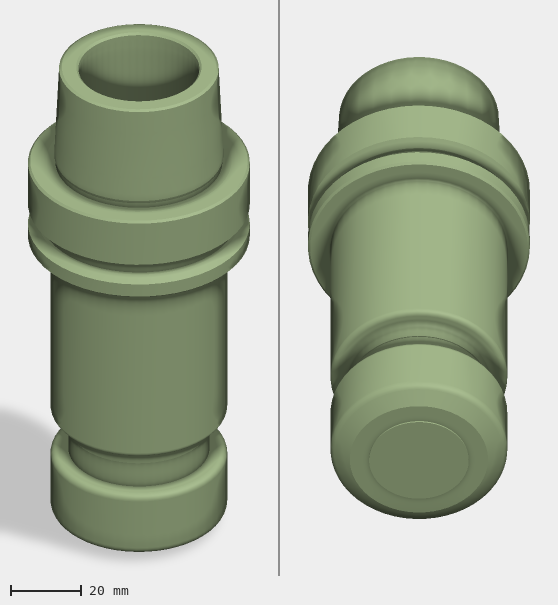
import cadquery as cq
import math

TOTAL_HEIGHT = 152.0
FLANGE_TOP = 120.1
FLANGE_BOTTOM = 94.1
BODY_BOTTOM = 35.7
NUT_TOP = 22.7
NUT_FACE = 0.5

TAPER_TOP_RADIUS = 22.7
TAPER_BASE_RADIUS = 24.0
TAPER_EDGE_RADIAL = 0.8
TAPER_EDGE_DROP = 0.5
TAPER_BASE_GAP = 2.1
BORE_RADIUS = 17.2
BORE_CHAMFER = 0.6
BORE_DEPTH = TOTAL_HEIGHT - FLANGE_TOP

RELIEF_NECK_RADIUS = 23.7
RELIEF_STEP = 0.9
RELIEF_INNER_RADIUS = 24.5
RELIEF_OUTER_RADIUS = 26.3
RELIEF_DEPTH = 0.3

FLANGE_RADIUS = 31.5
FLANGE_CHAMFER = 0.6
GROOVE_TOP = 105.5
GROOVE_BOTTOM = 98.8
GROOVE_STEP_RADIUS = 28.7
GROOVE_FLOOR_RADIUS = 27.7
GROOVE_SIDE_ANGLE = 30.0

BODY_RADIUS = 25.1
BODY_TOP_FILLET = 0.6
BODY_BOTTOM_FILLET = 1.5

NECK_RADIUS = 20.0
NECK_SHOULDER_RADIUS = 20.4
NECK_SHOULDER_BOTTOM = 30.7
NECK_FILLET = 1.5

NUT_RADIUS = BODY_RADIUS
NUT_TOP_FILLET = 1.8
NUT_FACE_RADIUS = 19.6
NUT_CONE_ANGLE = 30.0
NUT_EDGE_FILLET = 2.5
COLLET_RADIUS = 14.1


def cone_rise(outer_radius, inner_radius, angle):
    """Height of a cone whose side leans `angle` degrees from horizontal."""
    return (outer_radius - inner_radius) * math.tan(math.radians(angle))


def revolve_outline(outline):
    """Turn a closed (radius, height) outline about the Z axis."""
    return outline.close().revolve(360, (0, 0, 0), (0, 1, 0))


def make_shank_and_flange():
    taper_base = FLANGE_TOP + TAPER_BASE_GAP
    relief_floor = FLANGE_TOP - RELIEF_DEPTH
    groove_side = cone_rise(FLANGE_RADIUS, GROOVE_STEP_RADIUS, GROOVE_SIDE_ANGLE)
    outline = cq.Workplane("XZ").polyline([
        (0, TOTAL_HEIGHT),
        (TAPER_TOP_RADIUS - TAPER_EDGE_RADIAL, TOTAL_HEIGHT),
        (TAPER_TOP_RADIUS, TOTAL_HEIGHT - TAPER_EDGE_DROP),
        (TAPER_BASE_RADIUS, taper_base),
        (RELIEF_NECK_RADIUS, taper_base - RELIEF_STEP),
        (RELIEF_NECK_RADIUS, relief_floor),
        (RELIEF_INNER_RADIUS, relief_floor),
        (RELIEF_OUTER_RADIUS, FLANGE_TOP),
        (FLANGE_RADIUS - FLANGE_CHAMFER, FLANGE_TOP),
        (FLANGE_RADIUS, FLANGE_TOP - FLANGE_CHAMFER),
        (FLANGE_RADIUS, GROOVE_TOP),
        (GROOVE_STEP_RADIUS, GROOVE_TOP - groove_side),
        (GROOVE_FLOOR_RADIUS, GROOVE_TOP - groove_side),
        (GROOVE_FLOOR_RADIUS, GROOVE_BOTTOM + groove_side),
        (GROOVE_STEP_RADIUS, GROOVE_BOTTOM + groove_side),
        (FLANGE_RADIUS, GROOVE_BOTTOM),
        (FLANGE_RADIUS, FLANGE_BOTTOM + FLANGE_CHAMFER),
        (FLANGE_RADIUS - FLANGE_CHAMFER, FLANGE_BOTTOM),
        (0, FLANGE_BOTTOM),
    ])
    return revolve_outline(outline)


def make_body_and_neck():
    outline = (
        cq.Workplane("XZ")
        .moveTo(0, FLANGE_BOTTOM)
        .lineTo(BODY_RADIUS + BODY_TOP_FILLET, FLANGE_BOTTOM)
        .radiusArc((BODY_RADIUS, FLANGE_BOTTOM - BODY_TOP_FILLET), -BODY_TOP_FILLET)
        .lineTo(BODY_RADIUS, BODY_BOTTOM + BODY_BOTTOM_FILLET)
        .radiusArc((BODY_RADIUS - BODY_BOTTOM_FILLET, BODY_BOTTOM), BODY_BOTTOM_FILLET)
        .lineTo(NECK_SHOULDER_RADIUS + NECK_FILLET, BODY_BOTTOM)
        .radiusArc((NECK_SHOULDER_RADIUS, BODY_BOTTOM - NECK_FILLET), -NECK_FILLET)
        .lineTo(NECK_SHOULDER_RADIUS, NECK_SHOULDER_BOTTOM)
        .lineTo(NECK_RADIUS, NECK_SHOULDER_BOTTOM)
        .lineTo(NECK_RADIUS, NUT_TOP)
        .lineTo(0, NUT_TOP)
    )
    return revolve_outline(outline)


def make_nut_and_collet():
    cone_height = cone_rise(NUT_RADIUS, NUT_FACE_RADIUS, NUT_CONE_ANGLE)
    tangent_length = NUT_EDGE_FILLET * math.tan(math.radians(90 - NUT_CONE_ANGLE) / 2)
    edge_height = NUT_FACE + cone_height
    round_start_radius = NUT_RADIUS - tangent_length * math.cos(math.radians(NUT_CONE_ANGLE))
    round_start_height = edge_height - tangent_length * math.sin(math.radians(NUT_CONE_ANGLE))
    outline = (
        cq.Workplane("XZ")
        .lineTo(COLLET_RADIUS, 0)
        .lineTo(COLLET_RADIUS, NUT_FACE)
        .lineTo(NUT_FACE_RADIUS, NUT_FACE)
        .lineTo(round_start_radius, round_start_height)
        .radiusArc((NUT_RADIUS, edge_height + tangent_length), -NUT_EDGE_FILLET)
        .lineTo(NUT_RADIUS, NUT_TOP - NUT_TOP_FILLET)
        .radiusArc((NUT_RADIUS - NUT_TOP_FILLET, NUT_TOP), -NUT_TOP_FILLET)
        .lineTo(0, NUT_TOP)
    )
    return revolve_outline(outline)


def make_bore():
    floor = TOTAL_HEIGHT - BORE_DEPTH
    outline = cq.Workplane("XZ").polyline([
        (0, floor),
        (BORE_RADIUS, floor),
        (BORE_RADIUS, TOTAL_HEIGHT - BORE_CHAMFER),
        (BORE_RADIUS + BORE_CHAMFER, TOTAL_HEIGHT),
        (0, TOTAL_HEIGHT),
    ])
    return revolve_outline(outline)


holder = make_nut_and_collet().union(make_body_and_neck()).union(make_shank_and_flange())
result = holder.cut(make_bore())